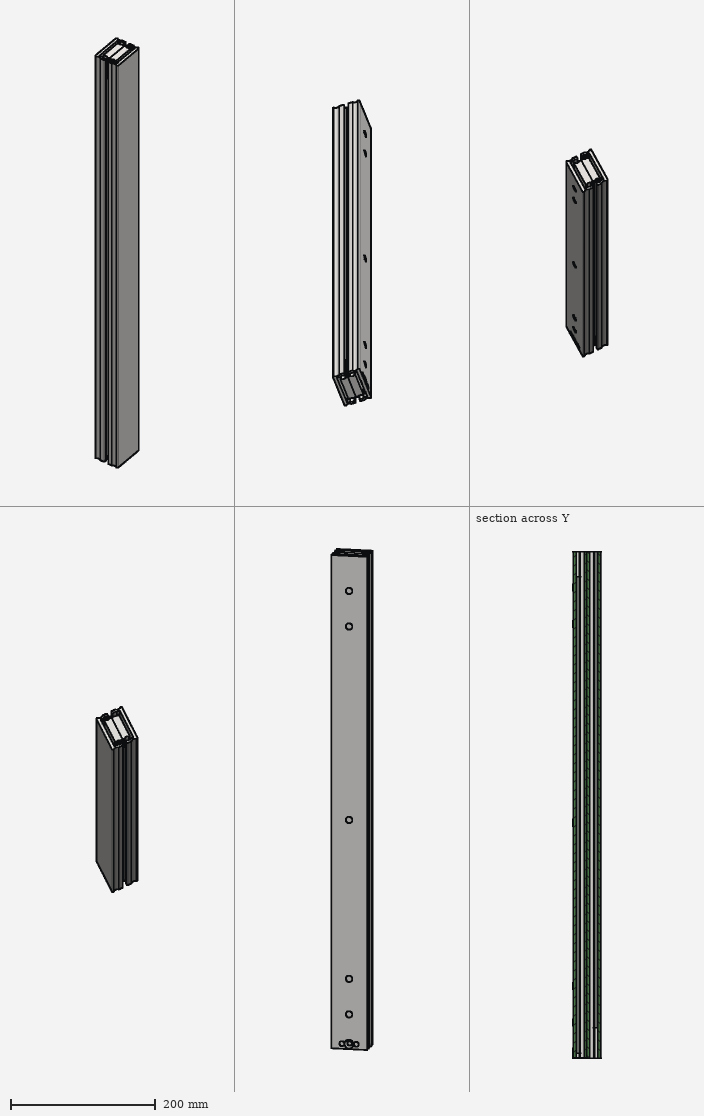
import cadquery as cq
import math

LENGTH = 700.0
WIDTH = 39.0
HEIGHT = 51.0
TOP_Z = LENGTH / 2
LEFT, RIGHT = -1, 1
LEFT_SHORTFALL = 0.35

WEB_THICKNESS = 5.0
LIP_THICKNESS = 4.3
LIP_END_X = 3.1
LIP_END_FILLET = 0.9
CORNER_FILLET = 1.25
RAIL_X = WIDTH / 2
RAIL_Y = HEIGHT / 2
WEB_INNER_X = RAIL_X - WEB_THICKNESS
LIP_INNER_Y = RAIL_Y - LIP_THICKNESS

OUTER_GROOVE_SETBACK = 6.0
OUTER_GROOVE_X = RAIL_X - OUTER_GROOVE_SETBACK
OUTER_GROOVE_WIDTH = 8.0
OUTER_GROOVE_DEPTH = 1.6

TRACK_WIDTH = 5.75
LIP_TRACK_X = 7.0
LIP_TRACK_DEPTH = 1.1
SLIDER_TRACK_X = 6.45
SLIDER_TRACK_DEPTH = 1.5

TRACK_GAP = 3.4
SLIDER_WEB_GAP = 3.7
SLIDER_X = WEB_INNER_X - SLIDER_WEB_GAP
SLIDER_Y = LIP_INNER_Y - TRACK_GAP
SLIDER_CHAMFER = 1.0
STEP_WIDTH = 2.0
STEP_DEPTH = 0.4

CAGE_THICKNESS = 1.95
CAGE_LENGTH = 658.0
CAGE_INNER_X = 0.85
CAGE_OUTER_X = 14.0
LEFT_CAGE_DROP = 35.0

RECESS_DIAMETER = 9.0
RECESS_DEPTH = 1.5
RECESS_END_DISTANCE = 50.0
RECESS_PITCH = 50.5
MIDDLE_RECESS_Z = -24.5
OUTER_RECESS_Z = TOP_Z - RECESS_END_DISTANCE
INNER_RECESS_Z = OUTER_RECESS_Z - RECESS_PITCH

END_HOLE_Z = -TOP_Z + 8.0
END_HOLE_DIAMETER = 6.45
COUNTERSINK_DIAMETER = 12.5
COUNTERSINK_ANGLE = 90.0
SMALL_RECESS_DIAMETER = 7.0
SMALL_RECESS_SPACING = 20.0


def groove(outline, side, x, y, half_width, depth):
    """Add a line to the near edge of a round groove or track, then its arc to the far edge.

    The arc runs outwards for a positive half_width, and bends towards +Y for a positive depth.
    """
    middle = (side * x, y + depth)
    end = (side * (x + half_width), y)
    return outline.lineTo(side * (x - half_width), y).threePointArc(middle, end)


def fillet_arc(outline, side, centre, radius, start_angle):
    """Add a quarter circle that runs clockwise on the right-hand side."""
    points = []
    for turn in (0, 45, 90):
        angle = math.radians(start_angle - turn)
        points.append((side * (centre[0] + radius * math.cos(angle)), centre[1] + radius * math.sin(angle)))
    return outline.lineTo(*points[0]).threePointArc(points[1], points[2])


def make_rail(side, length):
    """C profile, drawn clockwise for the right-hand side from the inner corner of its upper lip."""
    corner_x = RAIL_X - CORNER_FILLET
    corner_y = RAIL_Y - CORNER_FILLET
    lip_x = LIP_END_X + LIP_END_FILLET
    lip_y = RAIL_Y - LIP_END_FILLET
    groove_half = OUTER_GROOVE_WIDTH / 2
    track_half = TRACK_WIDTH / 2

    outline = cq.Workplane("XY", origin=(0, 0, TOP_Z)).moveTo(side * LIP_END_X, LIP_INNER_Y)
    outline = fillet_arc(outline, side, (lip_x, lip_y), LIP_END_FILLET, 180)
    outline = groove(outline, side, OUTER_GROOVE_X, RAIL_Y, groove_half, -OUTER_GROOVE_DEPTH)
    outline = fillet_arc(outline, side, (corner_x, corner_y), CORNER_FILLET, 90)
    outline = fillet_arc(outline, side, (corner_x, -corner_y), CORNER_FILLET, 0)
    outline = groove(outline, side, OUTER_GROOVE_X, -RAIL_Y, -groove_half, OUTER_GROOVE_DEPTH)
    outline = fillet_arc(outline, side, (lip_x, -lip_y), LIP_END_FILLET, -90)
    outline = outline.lineTo(side * LIP_END_X, -LIP_INNER_Y)
    outline = groove(outline, side, LIP_TRACK_X, -LIP_INNER_Y, track_half, -LIP_TRACK_DEPTH)
    outline = outline.lineTo(side * WEB_INNER_X, -LIP_INNER_Y).lineTo(side * WEB_INNER_X, LIP_INNER_Y)
    outline = groove(outline, side, LIP_TRACK_X, LIP_INNER_Y, -track_half, LIP_TRACK_DEPTH)
    return outline.close().extrude(-length)


def make_slider(side, length):
    """Bar with a ball track along its upper and lower face and a step beside the middle plane."""
    step_y = SLIDER_Y - STEP_DEPTH
    chamfer_x = SLIDER_X - SLIDER_CHAMFER
    chamfer_y = SLIDER_Y - SLIDER_CHAMFER
    track_half = TRACK_WIDTH / 2

    outline = cq.Workplane("XY", origin=(0, 0, TOP_Z)).moveTo(0, step_y)
    outline = outline.lineTo(side * STEP_WIDTH, step_y).lineTo(side * STEP_WIDTH, SLIDER_Y)
    outline = groove(outline, side, SLIDER_TRACK_X, SLIDER_Y, track_half, -SLIDER_TRACK_DEPTH)
    outline = outline.lineTo(side * chamfer_x, SLIDER_Y).lineTo(side * SLIDER_X, chamfer_y)
    outline = outline.lineTo(side * SLIDER_X, -chamfer_y).lineTo(side * chamfer_x, -SLIDER_Y)
    outline = groove(outline, side, SLIDER_TRACK_X, -SLIDER_Y, -track_half, SLIDER_TRACK_DEPTH)
    outline = outline.lineTo(side * STEP_WIDTH, -SLIDER_Y).lineTo(side * STEP_WIDTH, -step_y)
    return outline.lineTo(0, -step_y).close().extrude(-length)


def make_cage(side, y_side, drop):
    """Flat strip between a slider and a lip, starting the given drop below the top."""
    centre_x = side * (CAGE_INNER_X + CAGE_OUTER_X) / 2
    centre_y = y_side * (SLIDER_Y + CAGE_THICKNESS / 2)
    return (
        cq.Workplane("XY", origin=(centre_x, centre_y, TOP_Z - drop))
        .rect(CAGE_OUTER_X - CAGE_INNER_X, CAGE_THICKNESS)
        .extrude(-CAGE_LENGTH)
    )


def cut_left_web(rail):
    """Cut the recesses and the countersunk hole into the outer face of the left rail."""
    web_face = cq.Workplane("YZ", origin=(-RAIL_X, 0, 0))

    heights = (OUTER_RECESS_Z, INNER_RECESS_Z, MIDDLE_RECESS_Z, -INNER_RECESS_Z, -OUTER_RECESS_Z)
    recesses = web_face.pushPoints([(0, z) for z in heights]).circle(RECESS_DIAMETER / 2)
    rail = rail.cut(recesses.extrude(RECESS_DEPTH))

    small_places = [(y_side * SMALL_RECESS_SPACING / 2, END_HOLE_Z) for y_side in (-1, 1)]
    small_recesses = web_face.pushPoints(small_places).circle(SMALL_RECESS_DIAMETER / 2)
    rail = rail.cut(small_recesses.extrude(RECESS_DEPTH))

    hole = web_face.center(0, END_HOLE_Z).circle(END_HOLE_DIAMETER / 2).extrude(WEB_THICKNESS)
    cone_radius = COUNTERSINK_DIAMETER / 2
    hole_radius = END_HOLE_DIAMETER / 2
    cone_depth = (cone_radius - hole_radius) / math.tan(math.radians(COUNTERSINK_ANGLE / 2))
    mouth = cq.Vector(-RAIL_X, 0, END_HOLE_Z)
    cone = cq.Solid.makeCone(cone_radius, hole_radius, cone_depth, mouth, cq.Vector(1, 0, 0))
    return rail.cut(hole).cut(cq.Workplane(cone))


left_rail = cut_left_web(make_rail(LEFT, LENGTH - LEFT_SHORTFALL))
right_rail = make_rail(RIGHT, LENGTH)
left_slider = make_slider(LEFT, LENGTH - LEFT_SHORTFALL)
right_slider = make_slider(RIGHT, LENGTH)

cages = []
for cage_side, cage_drop in ((LEFT, LEFT_CAGE_DROP), (RIGHT, 0)):
    for cage_y_side in (-1, 1):
        cages.append(make_cage(cage_side, cage_y_side, cage_drop).val())

result = cq.Compound.makeCompound(
    [left_rail.val(), right_rail.val(), left_slider.val(), right_slider.val(), *cages]
)